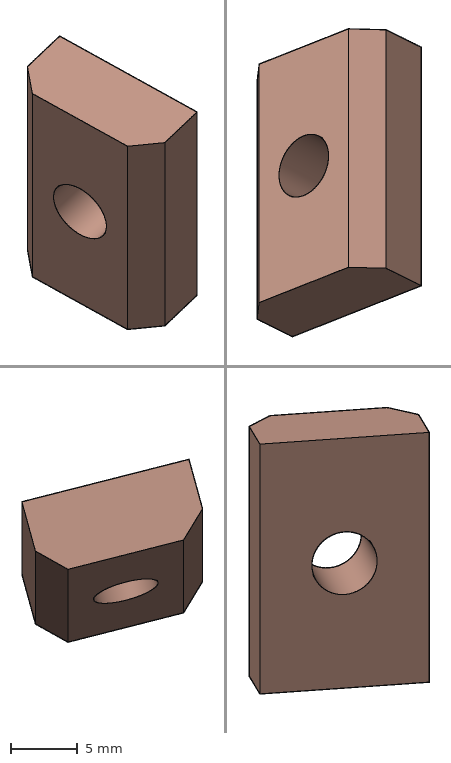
import cadquery as cq

width = 13.0
depth = 6.0
height = 20.0

chamfer = 2.0
hole_diameter = 5.0


def make_block():
    """Rectangular block centred on the origin with bevelled long front edges."""
    block = cq.Workplane("XY").box(width, depth, height)
    return block.faces("<Y").edges("|Z").chamfer(chamfer)


def make_hole_cutter():
    """Cylinder along Y through the middle of the block."""
    return cq.Workplane("XZ").circle(hole_diameter / 2).extrude(depth, both=True)


result = make_block().cut(make_hole_cutter())